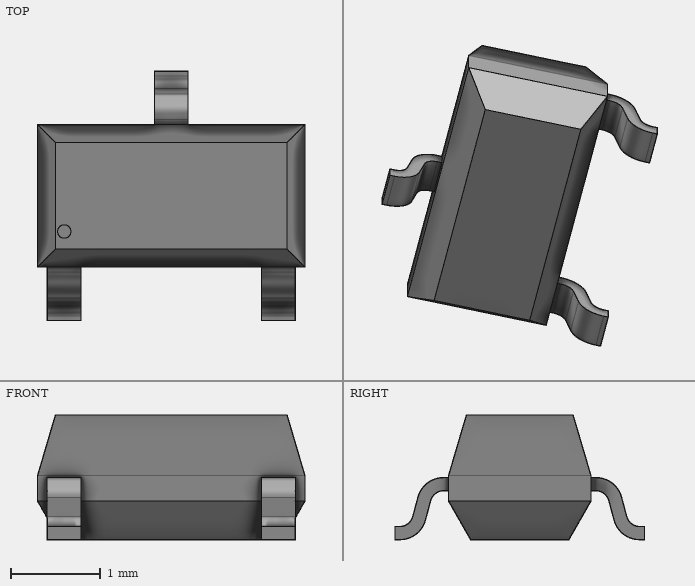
import cadquery as cq
import math

body_length = 3.0
body_width = 1.6
body_height = 1.4
belt_bottom = 0.435
belt_top = 0.72
cap_inset = 0.2
base_inset = 0.25

lead_reach = 0.6
lead_width = 0.38
lead_thickness = 0.15
lead_top = 0.7
lead_offset = 1.2
inner_radius = 0.15
outer_radius = inner_radius + lead_thickness
bend_angle = 75.0

marker_diameter = 0.15
marker_depth = 0.03
marker_x = -lead_offset
marker_y = -body_width / 4


def tapered_block(z_start, z_end, inset_start, inset_end):
    """Loft between two rectangles, each inset from the belt outline."""
    return (
        cq.Workplane("XY", origin=(0, 0, z_start))
        .rect(body_length - 2 * inset_start, body_width - 2 * inset_start)
        .workplane(offset=z_end - z_start)
        .rect(body_length - 2 * inset_end, body_width - 2 * inset_end)
        .loft(ruled=True)
    )


def make_marker():
    return (
        cq.Workplane("XY", origin=(marker_x, marker_y, body_height - marker_depth))
        .circle(marker_diameter / 2)
        .extrude(marker_depth)
    )


def make_housing(marker):
    base = tapered_block(0, belt_bottom, base_inset, 0)
    belt = tapered_block(belt_bottom, belt_top, 0, 0)
    cap = tapered_block(belt_top, body_height, 0, cap_inset)
    return base.union(belt).union(cap).cut(marker)


def arc_point(centre, radius, degrees):
    """Point on a circle, with the angle measured from the first axis."""
    angle = math.radians(degrees)
    return (centre[0] + radius * math.cos(angle), centre[1] + radius * math.sin(angle))


def make_lead(x, side):
    """S-shaped lead at x, reaching outward along Y on side +1 or -1."""
    angle = math.radians(bend_angle)
    radius_sum = inner_radius + outer_radius
    drop = lead_top - lead_thickness
    slope_length = (drop - radius_sum * (1 - math.cos(angle))) / math.sin(angle)
    bends_reach = radius_sum * math.sin(angle) + slope_length * math.cos(angle)
    flat_length = (lead_reach - bends_reach) / 2

    shoulder = (flat_length, lead_top - outer_radius)
    foot = (lead_reach - flat_length, outer_radius)
    shoulder_end = 90 - bend_angle
    shoulder_middle = 90 - bend_angle / 2
    foot_start = 270 - bend_angle
    foot_middle = 270 - bend_angle / 2

    profile_plane = cq.Plane(
        origin=(x, side * body_width / 2, 0), xDir=(0, side, 0), normal=(side, 0, 0)
    )
    return (
        cq.Workplane(profile_plane)
        .moveTo(0, lead_top)
        .lineTo(flat_length, lead_top)
        .threePointArc(
            arc_point(shoulder, outer_radius, shoulder_middle),
            arc_point(shoulder, outer_radius, shoulder_end),
        )
        .lineTo(*arc_point(foot, inner_radius, foot_start))
        .threePointArc(
            arc_point(foot, inner_radius, foot_middle),
            arc_point(foot, inner_radius, 270),
        )
        .lineTo(lead_reach, lead_thickness)
        .lineTo(lead_reach, 0)
        .lineTo(foot[0], 0)
        .threePointArc(
            arc_point(foot, outer_radius, foot_middle),
            arc_point(foot, outer_radius, foot_start),
        )
        .lineTo(*arc_point(shoulder, inner_radius, shoulder_end))
        .threePointArc(
            arc_point(shoulder, inner_radius, shoulder_middle),
            arc_point(shoulder, inner_radius, 90),
        )
        .lineTo(0, lead_top - lead_thickness)
        .close()
        .extrude(lead_width / 2, both=True)
    )


marker = make_marker()
housing = make_housing(marker)

lead_places = [(-lead_offset, -1), (lead_offset, -1), (0, 1)]
leads = [make_lead(x, side) for x, side in lead_places]

result = cq.Compound.makeCompound(
    [housing.val(), marker.val(), *[lead.val() for lead in leads]]
)